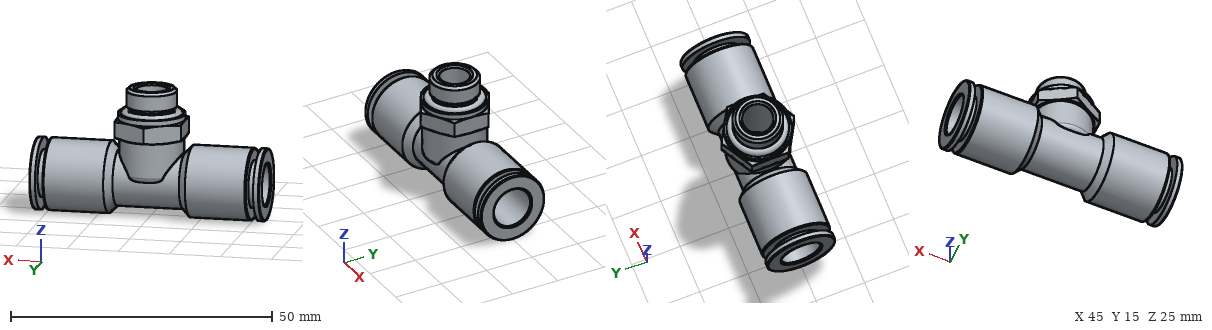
import cadquery as cq
import math

RUN_LENGTH = 45.0
RUN_END = RUN_LENGTH / 2
SOCKET_DIAMETER = 14.0
MIDDLE_DIAMETER = 11.0
MIDDLE_LENGTH = 13.0
SHOULDER_ANGLE = 45.0
SHOULDER_RISE = (SOCKET_DIAMETER - MIDDLE_DIAMETER) / 2
SHOULDER_END = MIDDLE_LENGTH / 2 + SHOULDER_RISE / math.tan(math.radians(SHOULDER_ANGLE))
COLLAR_THICKNESS = 1.15
COLLAR_CHAMFER = 0.17
COLLET_NECK_DIAMETER = 9.2
COLLET_GAP = 1.45
SOCKET_CHAMFER_LENGTH = 0.25
SOCKET_CHAMFER_HEIGHT = 0.15

FLOW_DIAMETER = 6.0
TUBE_DIAMETER = 8.0
TUBE_MOUTH_DIAMETER = 8.57

BRANCH_TOP = 18.0
STEM_DIAMETER = 12.5
STEM_BOTTOM = 0.5
STEM_FILLET = 1.0
HEX_ACROSS_FLATS = 13.0
HEX_BOTTOM = 8.42
HEX_COLLAR_HEIGHT = 0.15
HEX_TOP = 11.9
HEX_CHAMFER_ANGLE = 12.0
FLANGE_TOP = 13.0
SEAL_TUBE_DIAMETER = 1.72
SEAL_HEIGHT = 12.92
THREAD_DIAMETER = 9.73
THREAD_ROOT_DIAMETER = 8.57
THREAD_BOTTOM = 13.85
BRANCH_MOUTH_DIAMETER = 7.0
MOUTH_ANGLE = 60.0


def cylinder_x(diameter, x_start, x_end):
    """Cylinder on the X axis between two positions."""
    return cq.Workplane("YZ", origin=(x_start, 0, 0)).circle(diameter / 2).extrude(x_end - x_start)


def cylinder_z(diameter, z_start, z_end):
    """Cylinder on the Z axis between two heights."""
    return cq.Workplane("XY", origin=(0, 0, z_start)).circle(diameter / 2).extrude(z_end - z_start)


def revolve_z(points):
    """Revolve a closed (radius, height) outline about the Z axis."""
    return cq.Workplane("XZ").polyline(points).close().revolve(360, (0, 0), (0, 1))


def make_run():
    """Both sockets in one revolve: cone shoulder, barrel, collet neck and release collar each side."""
    middle_radius = MIDDLE_DIAMETER / 2
    socket_radius = SOCKET_DIAMETER / 2
    neck_radius = COLLET_NECK_DIAMETER / 2
    collar_start = RUN_END - COLLAR_THICKNESS
    barrel_end = collar_start - COLLET_GAP
    right_half = [
        (MIDDLE_LENGTH / 2, middle_radius),
        (SHOULDER_END, socket_radius),
        (barrel_end - SOCKET_CHAMFER_LENGTH, socket_radius),
        (barrel_end, socket_radius - SOCKET_CHAMFER_HEIGHT),
        (barrel_end, neck_radius),
        (collar_start, neck_radius),
        (collar_start, socket_radius),
        (RUN_END - COLLAR_CHAMFER, socket_radius),
        (RUN_END, socket_radius - COLLAR_CHAMFER),
        (RUN_END, 0),
    ]
    left_half = [(-x, radius) for x, radius in reversed(right_half)]
    return cq.Workplane("XY").polyline(left_half + right_half).close().revolve(360, (0, 0), (1, 0))


def make_tube_bore():
    """Right-hand tube bore with a chamfered mouth, ending where the shoulder cone begins to narrow."""
    tube_radius = TUBE_DIAMETER / 2
    mouth_radius = TUBE_MOUTH_DIAMETER / 2
    mouth_depth = mouth_radius - tube_radius
    outline = [
        (SHOULDER_END, 0),
        (SHOULDER_END, tube_radius),
        (RUN_END - mouth_depth, tube_radius),
        (RUN_END, mouth_radius),
        (RUN_END, 0),
    ]
    return cq.Workplane("XY").polyline(outline).close().revolve(360, (0, 0), (1, 0))


def make_hexagon():
    """Hexagon with flats facing +X and -X, its corners bevelled at both ends."""
    corner_diameter = HEX_ACROSS_FLATS / math.cos(math.radians(30))
    flat_radius = HEX_ACROSS_FLATS / 2
    corner_radius = corner_diameter / 2
    drop = (corner_radius - flat_radius) * math.tan(math.radians(HEX_CHAMFER_ANGLE))
    prism = (
        cq.Workplane("XY", origin=(0, 0, HEX_BOTTOM))
        .polygon(6, corner_diameter)
        .extrude(HEX_TOP - HEX_BOTTOM)
        .rotate((0, 0, 0), (0, 0, 1), 30)
    )
    bevel = revolve_z([
        (0, HEX_BOTTOM),
        (flat_radius, HEX_BOTTOM),
        (corner_radius, HEX_BOTTOM + drop),
        (corner_radius, HEX_TOP - drop),
        (flat_radius, HEX_TOP),
        (0, HEX_TOP),
    ])
    return prism.intersect(bevel)


def make_hexagon_collar():
    """Short cone easing the underside of the hexagon into the stem."""
    return revolve_z([
        (0, HEX_BOTTOM - HEX_COLLAR_HEIGHT),
        (STEM_DIAMETER / 2, HEX_BOTTOM - HEX_COLLAR_HEIGHT),
        (HEX_ACROSS_FLATS / 2, HEX_BOTTOM),
        (0, HEX_BOTTOM),
    ])


def make_seal():
    """O-ring seated around the thread root, half sunk in the flange."""
    tube_radius = SEAL_TUBE_DIAMETER / 2
    ring_radius = THREAD_ROOT_DIAMETER / 2 + tube_radius
    return (
        cq.Workplane("XZ")
        .center(ring_radius, SEAL_HEIGHT)
        .circle(tube_radius)
        .revolve(360, (-ring_radius, 0), (-ring_radius, 1))
    )


def make_thread():
    """Plain thread envelope with a 45 degree chamfer at each end, on its root neck."""
    root_radius = THREAD_ROOT_DIAMETER / 2
    thread_radius = THREAD_DIAMETER / 2
    chamfer = thread_radius - root_radius
    return revolve_z([
        (0, HEX_TOP),
        (root_radius, HEX_TOP),
        (root_radius, THREAD_BOTTOM),
        (thread_radius, THREAD_BOTTOM + chamfer),
        (thread_radius, BRANCH_TOP - chamfer),
        (root_radius, BRANCH_TOP),
        (0, BRANCH_TOP),
    ])


def make_branch():
    """Stem with a rounded foot, hexagon, flange, seal and thread."""
    stem = cylinder_z(STEM_DIAMETER, STEM_BOTTOM, HEX_BOTTOM).faces("<Z").edges().fillet(STEM_FILLET)
    flange = cylinder_z(HEX_ACROSS_FLATS, HEX_TOP, FLANGE_TOP)
    branch = stem.union(make_hexagon_collar()).union(make_hexagon()).union(flange)
    return branch.union(make_thread()).union(make_seal())


def make_branch_bore():
    """Vertical flow bore from the run axis to the chamfered branch mouth."""
    flow_radius = FLOW_DIAMETER / 2
    mouth_radius = BRANCH_MOUTH_DIAMETER / 2
    mouth_depth = (mouth_radius - flow_radius) / math.tan(math.radians(MOUTH_ANGLE))
    return revolve_z([
        (0, 0),
        (flow_radius, 0),
        (flow_radius, BRANCH_TOP - mouth_depth),
        (mouth_radius, BRANCH_TOP),
        (0, BRANCH_TOP),
    ])


tube_bore = make_tube_bore()

body = make_run().union(make_branch())
body = body.cut(cylinder_x(FLOW_DIAMETER, -RUN_END, RUN_END))
body = body.cut(tube_bore).cut(tube_bore.mirror("YZ"))
result = body.cut(make_branch_bore())